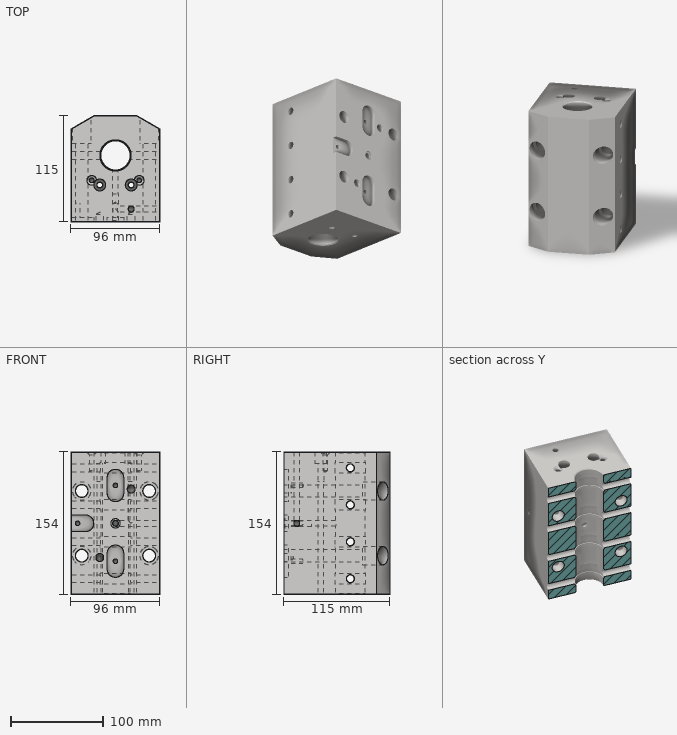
import cadquery as cq
import math

WIDTH = 96.0
DEPTH = 115.0
HEIGHT = 154.0
TOP_Z = HEIGHT / 2
BACK_FLAT_WIDTH = 46.0
BEVEL_ANGLE = 30.0

DRILL_POINT_ANGLE = 118.0

BORE_Y = 72.0
BORE_DIAMETER = 31.75
BORE_CHAMFER = 1.02

CROSS_HOLE_DIAMETER = 8.38
CROSS_HOLE_PITCH = 40.0
CROSS_HOLE_COUNT = 4
GROOVE_DIAMETER = 33.27
GROOVE_WIDTH = 11.6

BOLT_X = 36.5
BOLT_Z = 35.0
BOLT_HOLE_DIAMETER = 13.49
BOLT_HEAD_DIAMETER = 19.86
BOLT_SEAT_Y = 85.0

SLOT_RADIUS = 41.0
SLOT_WIDTH = 18.0
SLOT_LENGTH = 35.0
SLOT_DEPTH = 5.0
SLOT_HOLE_DIAMETER = 4.93
SLOT_HOLE_DEPTH = 15.0

DOWEL_X = 17.0
DOWEL_Z = 37.0
DOWEL_DIAMETER = 8.61
DOWEL_DEPTH = 8.0

PORT_DIAMETER = 6.4
PORT_INNER_DIAMETER = 5.94
PORT_INNER_START_Y = 30.0
PORT_SEAT_DIAMETER = 10.16
PORT_SEAT_DEPTH = 1.3

CLAMP_X = 17.0
CLAMP_Y = 40.0
CLAMP_HOLE_DIAMETER = 6.4
CLAMP_HOLE_LENGTH = 20.0
CLAMP_THREAD_DIAMETER = 5.94
CLAMP_HEAD_DIAMETER = 12.83
CLAMP_HEAD_DEPTH = 12.0

COUNTERSINK_X = 25.7
COUNTERSINK_Y = 45.0
COUNTERSINK_DIAMETER = 10.5
COUNTERSINK_HOLE_DIAMETER = 4.93
COUNTERSINK_HOLE_DEPTH = 20.0

PASSAGE_X = 17.0
PASSAGE_Y = 14.0
PASSAGE_DIAMETER = 6.4

ALONG_X = cq.Vector(1, 0, 0)
ALONG_Y = cq.Vector(0, 1, 0)
UP = cq.Vector(0, 0, 1)
DOWN = cq.Vector(0, 0, -1)


def cylinder(start, direction, diameter, length):
    """Cylinder that begins at start and runs along direction."""
    return cq.Workplane(cq.Solid.makeCylinder(diameter / 2, length, cq.Vector(*start), direction))


def cone(start, direction, start_diameter, end_diameter, length):
    """Cone frustum that begins at start and runs along direction."""
    solid = cq.Solid.makeCone(start_diameter / 2, end_diameter / 2, length, cq.Vector(*start), direction)
    return cq.Workplane(solid)


def drilled_hole(start, direction, diameter, depth):
    """Blind hole with a conical drill point beyond its full-diameter depth."""
    tip_start = cq.Vector(*start) + direction * depth
    tip_length = diameter / 2 / math.tan(math.radians(DRILL_POINT_ANGLE / 2))
    tip = cone(tip_start.toTuple(), direction, diameter, 0, tip_length)
    return cylinder(start, direction, diameter, depth).union(tip)


def block():
    """Rectangular block with both back vertical corners bevelled."""
    half_width = WIDTH / 2
    half_flat = BACK_FLAT_WIDTH / 2
    bevel_depth = (half_width - half_flat) * math.tan(math.radians(BEVEL_ANGLE))
    outline = [
        (-half_width, 0),
        (half_width, 0),
        (half_width, DEPTH - bevel_depth),
        (half_flat, DEPTH),
        (-half_flat, DEPTH),
        (-half_width, DEPTH - bevel_depth),
    ]
    return cq.Workplane("XY", origin=(0, 0, -TOP_Z)).polyline(outline).close().extrude(HEIGHT)


def cut_main_bore(body):
    body = body.cut(cylinder((0, BORE_Y, TOP_Z), DOWN, BORE_DIAMETER, HEIGHT))
    mouth_diameter = BORE_DIAMETER + 2 * BORE_CHAMFER
    for end_z, inward in ((TOP_Z, DOWN), (-TOP_Z, UP)):
        body = body.cut(cone((0, BORE_Y, end_z), inward, mouth_diameter, BORE_DIAMETER, BORE_CHAMFER))
    return body


def cut_cross_holes(body):
    lowest_z = -CROSS_HOLE_PITCH * (CROSS_HOLE_COUNT - 1) / 2
    for index in range(CROSS_HOLE_COUNT):
        z = lowest_z + index * CROSS_HOLE_PITCH
        body = body.cut(cylinder((-WIDTH / 2, BORE_Y, z), ALONG_X, CROSS_HOLE_DIAMETER, WIDTH))
        groove_top = (0, BORE_Y, z + GROOVE_WIDTH / 2)
        body = body.cut(cylinder(groove_top, DOWN, GROOVE_DIAMETER, GROOVE_WIDTH))
    return body


def cut_bolt_holes(body):
    for x in (-BOLT_X, BOLT_X):
        for z in (-BOLT_Z, BOLT_Z):
            body = body.cut(cylinder((x, 0, z), ALONG_Y, BOLT_HOLE_DIAMETER, DEPTH))
            body = body.cut(cylinder((x, BOLT_SEAT_Y, z), ALONG_Y, BOLT_HEAD_DIAMETER, DEPTH - BOLT_SEAT_Y))
    return body


def cut_slots(body):
    """Three slots at equal radius: above, below and open to the -X side."""
    for x, z, angle in ((0, SLOT_RADIUS, 90), (0, -SLOT_RADIUS, 90), (-SLOT_RADIUS, 0, 0)):
        slot = (
            cq.Workplane("XZ", origin=(x, 0, z))
            .slot2D(SLOT_LENGTH, SLOT_WIDTH, angle)
            .extrude(-SLOT_DEPTH)
        )
        body = body.cut(slot)
        body = body.cut(drilled_hole((x, SLOT_DEPTH, z), ALONG_Y, SLOT_HOLE_DIAMETER, SLOT_HOLE_DEPTH))
    return body


def cut_dowel_holes(body):
    for side in (-1, 1):
        start = (side * DOWEL_X, 0, side * DOWEL_Z)
        body = body.cut(drilled_hole(start, ALONG_Y, DOWEL_DIAMETER, DOWEL_DEPTH))
    return body


def cut_port(body):
    body = body.cut(cylinder((0, 0, 0), ALONG_Y, PORT_INNER_DIAMETER, BORE_Y))
    body = body.cut(cylinder((0, 0, 0), ALONG_Y, PORT_DIAMETER, PORT_INNER_START_Y))
    return body.cut(cylinder((0, 0, 0), ALONG_Y, PORT_SEAT_DIAMETER, PORT_SEAT_DEPTH))


def cut_clamp_holes(body):
    for x in (-CLAMP_X, CLAMP_X):
        start = (x, CLAMP_Y, TOP_Z)
        body = body.cut(cylinder(start, DOWN, CLAMP_THREAD_DIAMETER, HEIGHT))
        body = body.cut(cylinder(start, DOWN, CLAMP_HOLE_DIAMETER, CLAMP_HEAD_DEPTH + CLAMP_HOLE_LENGTH))
        body = body.cut(cylinder(start, DOWN, CLAMP_HEAD_DIAMETER, CLAMP_HEAD_DEPTH))
    return body


def cut_countersunk_holes(body):
    sink_depth = (COUNTERSINK_DIAMETER - COUNTERSINK_HOLE_DIAMETER) / 2
    for x in (-COUNTERSINK_X, COUNTERSINK_X):
        start = (x, COUNTERSINK_Y, TOP_Z)
        body = body.cut(drilled_hole(start, DOWN, COUNTERSINK_HOLE_DIAMETER, COUNTERSINK_HOLE_DEPTH))
        body = body.cut(cone(start, DOWN, COUNTERSINK_DIAMETER, COUNTERSINK_HOLE_DIAMETER, sink_depth))
    return body


def cut_passages(body):
    """Vertical passage down to mid-height and cross passage from the +X side to the port."""
    body = body.cut(cylinder((PASSAGE_X, PASSAGE_Y, TOP_Z), DOWN, PASSAGE_DIAMETER, TOP_Z))
    cross_start = (WIDTH / 2, PASSAGE_Y, 0)
    return body.cut(cylinder(cross_start, -ALONG_X, PASSAGE_DIAMETER, WIDTH / 2))


result = block()
result = cut_main_bore(result)
result = cut_cross_holes(result)
result = cut_bolt_holes(result)
result = cut_slots(result)
result = cut_dowel_holes(result)
result = cut_port(result)
result = cut_clamp_holes(result)
result = cut_countersunk_holes(result)
result = cut_passages(result)